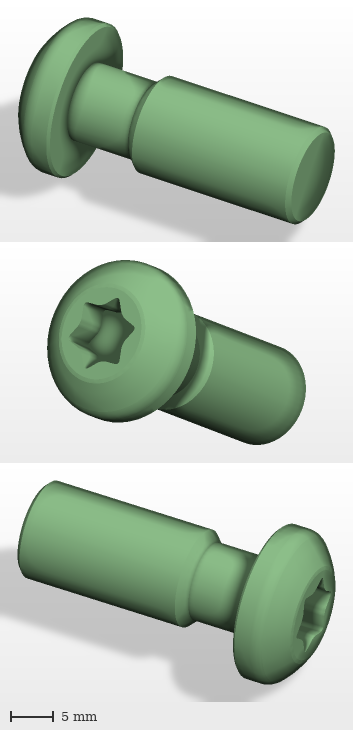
import cadquery as cq
import math

length = 36.0

head_radius = 19.0 / 2
head_length = 6.0
rim_start = 3.75
rim_round = 2.0
dome_end = 2.35
face_radius = 5.75
face_edge_round = 1.0
head_back_chamfer = 0.32

neck_radius = 9.6 / 2
shaft_radius = 12.0 / 2
neck_end = 14.0
shaft_end_chamfer = 0.55

socket_points = 6
socket_tip_radius = 4.8
socket_flat_distance = 3.42
socket_flat_width = 0.75
socket_tip_round = 0.45
socket_valley_round = 1.0
socket_depth = 4.32


def make_body():
    """Head, neck and shaft, revolved about X."""
    rim_angle = math.asin((rim_start - dome_end) / rim_round)
    rim_center_radius = head_radius - rim_round
    dome_end_radius = rim_center_radius + rim_round * math.cos(rim_angle)
    rim_middle = (
        rim_start - rim_round * math.sin(rim_angle / 2),
        rim_center_radius + rim_round * math.cos(rim_angle / 2),
    )
    shoulder_length = shaft_radius - neck_radius

    profile = (
        cq.Workplane("XY")
        .moveTo(length, 0)
        .lineTo(length, shaft_radius - shaft_end_chamfer)
        .lineTo(length - shaft_end_chamfer, shaft_radius)
        .lineTo(neck_end + shoulder_length, shaft_radius)
        .lineTo(neck_end, neck_radius)
        .lineTo(head_length, neck_radius)
        .lineTo(head_length, head_radius - head_back_chamfer)
        .lineTo(head_length - head_back_chamfer, head_radius)
        .lineTo(rim_start, head_radius)
        .threePointArc(rim_middle, (dome_end, dome_end_radius))
        .tangentArcPoint((0, face_radius), relative=False)
        .lineTo(0, 0)
        .close()
    )
    body = profile.revolve(360, (0, 0, 0), (1, 0, 0))
    return body.faces("<X").edges().fillet(face_edge_round)


def star_corners(radius, first_angle):
    """Corners on a circle about X, with angles measured from +Y towards +Z."""
    step = 2 * math.pi / socket_points
    angles = [first_angle + i * step for i in range(socket_points)]
    return [(radius * math.cos(a), radius * math.sin(a)) for a in angles]


def round_corners(solid, corners, radius):
    """Round the lengthwise socket edges that pass through the given corners."""
    for y, z in corners:
        edge = cq.selectors.NearestToPointSelector((socket_depth / 2, y, z))
        solid = solid.edges("|X").edges(edge).fillet(radius)
    return solid


def make_socket():
    """Solid filling the blind star socket, with two tips on the Y axis."""
    flat_middle_angle = math.pi / socket_points
    half_width = socket_flat_width / 2
    flat_corner_radius = math.hypot(socket_flat_distance, half_width)
    flat_half_angle = math.atan2(half_width, socket_flat_distance)

    tips = star_corners(socket_tip_radius, 0)
    flat_starts = star_corners(flat_corner_radius, flat_middle_angle - flat_half_angle)
    flat_ends = star_corners(flat_corner_radius, flat_middle_angle + flat_half_angle)
    outline = [corner for group in zip(tips, flat_starts, flat_ends) for corner in group]

    socket = cq.Workplane("YZ").polyline(outline).close().extrude(socket_depth)
    socket = round_corners(socket, tips, socket_tip_round)
    return round_corners(socket, flat_starts + flat_ends, socket_valley_round)


result = make_body().cut(make_socket())